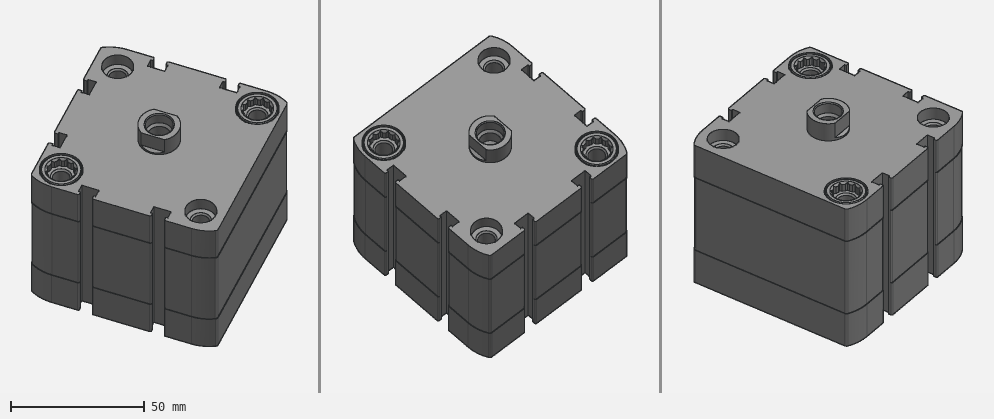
import cadquery as cq
import math

WIDTH = 75.5
HALF_WIDTH = WIDTH / 2
HOUSING_HEIGHT = 64.0
CAP_HEIGHT = 15.1
BARREL_INSET = 0.2

CORNER_ARC_RADIUS = 18.0
CORNER_FILLET_RADIUS = 1.2

HOLE_PITCH = 56.5
HOLE_OFFSET = HOLE_PITCH / 2
THROUGH_DIAMETER = 6.65
COUNTERSINK_DIAMETER = 8.0
COUNTERBORE_DIAMETER = 12.0
COUNTERBORE_DEPTH = 5.2

COLLAR_POCKET_DIAMETER = 16.4
COLLAR_DIAMETER = 15.5
COLLAR_GAP_DEPTH = 1.0
COLLAR_CHAMFER = 0.4
SOCKET_MOUTH_DIAMETER = 12.2
SOCKET_DEPTH = 3.9
SOCKET_TEETH = 12
SOCKET_GROOVE_RADIUS = 5.8
SOCKET_RIDGE_RADIUS = 5.2
SOCKET_RIDGE_WIDTH = 1.2

SLOT_OFFSET = 14.6
SLOT_MOUTH_WIDTH = 5.3
SLOT_INNER_WIDTH = 6.95
SLOT_DEPTH = 5.0
SLOT_LIP = 1.65
SLOT_EDGE_RADIUS = 0.5

ROD_DIAMETER = 16.0
ROD_RADIUS = ROD_DIAMETER / 2
ROD_PROJECTION = 8.0
ROD_FLAT_WIDTH = 13.0
ROD_FLAT_LENGTH = 6.7
ROD_FLAT_RUNOUT = 0.6
ROD_DEPTH = CAP_HEIGHT
ROD_MOUTH_DIAMETER = 11.3
ROD_RECESS_DIAMETER = 10.5
ROD_RECESS_DEPTH = 4.75
ROD_BORE_DIAMETER = 8.5
ROD_BORE_DEPTH = 10.6
DRILL_POINT_ANGLE = 118.0


def block_outline(inset, height):
    """Prism of the block section, its faces moved inward by inset."""
    half = HALF_WIDTH - inset
    arc_radius = CORNER_ARC_RADIUS - inset
    arc_centre = HALF_WIDTH - CORNER_ARC_RADIUS

    def arc_y(x):
        return arc_centre + math.sqrt(arc_radius**2 - (x - HOLE_OFFSET) ** 2)

    end_y = arc_y(half)
    middle_x = (HOLE_OFFSET + half) / 2
    middle_y = arc_y(middle_x)
    return (
        cq.Workplane("XY")
        .moveTo(-HOLE_OFFSET, half)
        .lineTo(HOLE_OFFSET, half)
        .threePointArc((middle_x, middle_y), (half, end_y))
        .lineTo(half, -end_y)
        .threePointArc((middle_x, -middle_y), (HOLE_OFFSET, -half))
        .lineTo(-HOLE_OFFSET, -half)
        .threePointArc((-middle_x, -middle_y), (-half, -end_y))
        .lineTo(-half, end_y)
        .threePointArc((-middle_x, middle_y), (-HOLE_OFFSET, half))
        .close()
        .extrude(height)
        .edges(cq.selectors.BoxSelector((-WIDTH, -WIDTH, -0.75), (-half + 0.75, WIDTH, height + 0.75)))
        .edges("|Z")
        .fillet(CORNER_FILLET_RADIUS)
        .edges(cq.selectors.BoxSelector((half - 0.75, -WIDTH, -0.75), (WIDTH, WIDTH, height + 0.75)))
        .edges("|Z")
        .fillet(CORNER_FILLET_RADIUS)
    )


def t_slot(inset, height):
    """T-slot cutter for the +Y face at X = 0, its mouth edges rounded where they meet the face."""
    face = HALF_WIDTH - inset
    lip = HALF_WIDTH - SLOT_LIP
    floor = HALF_WIDTH - SLOT_DEPTH
    mouth = SLOT_MOUTH_WIDTH / 2
    wall = SLOT_INNER_WIDTH / 2
    rounded = mouth + SLOT_EDGE_RADIUS
    return (
        cq.Workplane("XY")
        .moveTo(-wall, floor)
        .lineTo(wall, floor)
        .lineTo(wall, lip)
        .lineTo(mouth, lip)
        .lineTo(mouth, face - SLOT_EDGE_RADIUS)
        .radiusArc((rounded, face), SLOT_EDGE_RADIUS)
        .lineTo(-rounded, face)
        .radiusArc((-mouth, face - SLOT_EDGE_RADIUS), SLOT_EDGE_RADIUS)
        .lineTo(-mouth, lip)
        .lineTo(-wall, lip)
        .close()
        .extrude(height)
    )


def block_section(inset, height):
    """Length of the block with slots in the +Y, -X and -Y faces."""
    section = block_outline(inset, height)
    slot = t_slot(inset, height)
    for offset in (-SLOT_OFFSET, SLOT_OFFSET):
        for angle in (0, 90, 180):
            section = section.cut(slot.translate((offset, 0, 0)).rotate((0, 0, 0), (0, 0, 1), angle))
    return section


def turned(points):
    """Solid of revolution about Z from (radius, height) points."""
    return cq.Workplane("XZ").polyline(points).close().revolve(360, (0, 0), (0, 1))


def countersunk_through_hole(mouth_depth):
    """Hole through the housing, countersunk where it starts below the top face."""
    radius = THROUGH_DIAMETER / 2
    mouth_radius = COUNTERSINK_DIAMETER / 2
    mouth_z = HOUSING_HEIGHT - mouth_depth
    return turned(
        [
            (0, 0),
            (radius, 0),
            (radius, mouth_z - (mouth_radius - radius)),
            (mouth_radius, mouth_z),
            (0, mouth_z),
        ]
    )


def counterbored_hole():
    counterbore = (
        cq.Workplane("XY", origin=(0, 0, HOUSING_HEIGHT - COUNTERBORE_DEPTH))
        .circle(COUNTERBORE_DIAMETER / 2)
        .extrude(COUNTERBORE_DEPTH)
    )
    return counterbore.union(countersunk_through_hole(COUNTERBORE_DEPTH))


def collar_gap():
    """Ring gap around the screw collar, including the chamfer of the collar's rim."""
    pocket_radius = COLLAR_POCKET_DIAMETER / 2
    collar_radius = COLLAR_DIAMETER / 2
    return turned(
        [
            (pocket_radius, HOUSING_HEIGHT),
            (pocket_radius, HOUSING_HEIGHT - COLLAR_GAP_DEPTH),
            (collar_radius, HOUSING_HEIGHT - COLLAR_GAP_DEPTH),
            (collar_radius, HOUSING_HEIGHT - COLLAR_CHAMFER),
            (collar_radius - COLLAR_CHAMFER, HOUSING_HEIGHT),
        ]
    )


def splined_socket():
    """Twelve-point socket with flat ridges and a 45 degree lead-in."""
    step = 2 * math.pi / SOCKET_TEETH
    ridge_corner_radius = math.hypot(SOCKET_RIDGE_RADIUS, SOCKET_RIDGE_WIDTH / 2)
    ridge_half_angle = math.atan2(SOCKET_RIDGE_WIDTH / 2, SOCKET_RIDGE_RADIUS)
    points = []
    for tooth in range(SOCKET_TEETH):
        groove_angle = tooth * step
        ridge_angle = groove_angle + step / 2
        for radius, angle in (
            (SOCKET_GROOVE_RADIUS, groove_angle),
            (ridge_corner_radius, ridge_angle - ridge_half_angle),
            (ridge_corner_radius, ridge_angle + ridge_half_angle),
        ):
            points.append((radius * math.cos(angle), radius * math.sin(angle)))
    spline = (
        cq.Workplane("XY", origin=(0, 0, HOUSING_HEIGHT - SOCKET_DEPTH))
        .polyline(points)
        .close()
        .extrude(SOCKET_DEPTH)
    )
    mouth_radius = SOCKET_MOUTH_DIAMETER / 2
    lead_in_depth = mouth_radius - SOCKET_RIDGE_RADIUS
    lead_in = turned(
        [
            (0, HOUSING_HEIGHT),
            (mouth_radius, HOUSING_HEIGHT),
            (SOCKET_RIDGE_RADIUS, HOUSING_HEIGHT - lead_in_depth),
            (0, HOUSING_HEIGHT - lead_in_depth),
        ]
    )
    return spline.union(lead_in)


def make_housing():
    barrel_height = HOUSING_HEIGHT - 2 * CAP_HEIGHT
    top_cap_z = HOUSING_HEIGHT - CAP_HEIGHT
    cap = block_section(0, CAP_HEIGHT)
    barrel = block_section(BARREL_INSET, barrel_height).translate((0, 0, CAP_HEIGHT))
    housing = cap.union(barrel).union(cap.translate((0, 0, top_cap_z)))

    plain_hole = counterbored_hole()
    screw_features = (collar_gap(), splined_socket(), countersunk_through_hole(SOCKET_DEPTH))
    for side in (-1, 1):
        housing = housing.cut(plain_hole.translate((side * HOLE_OFFSET, -side * HOLE_OFFSET, 0)))
        for feature in screw_features:
            housing = housing.cut(feature.translate((side * HOLE_OFFSET, side * HOLE_OFFSET, 0)))

    rod_bore = (
        cq.Workplane("XY", origin=(0, 0, HOUSING_HEIGHT - ROD_DEPTH))
        .circle(ROD_RADIUS)
        .extrude(ROD_DEPTH)
    )
    return housing.cut(rod_bore)


def rod_flat(top_z):
    """Wrench flat on the +Y side with a sloping runout at its lower end."""
    flat_y = ROD_FLAT_WIDTH / 2
    flat_bottom = top_z - ROD_FLAT_LENGTH
    return (
        cq.Workplane("YZ")
        .moveTo(flat_y, top_z)
        .lineTo(flat_y, flat_bottom)
        .lineTo(ROD_RADIUS, flat_bottom - ROD_FLAT_RUNOUT)
        .lineTo(ROD_RADIUS, top_z)
        .close()
        .extrude(ROD_RADIUS, both=True)
    )


def rod_bore(top_z):
    """Stepped bore with chamfered mouth, conical step and drill point."""
    mouth_radius = ROD_MOUTH_DIAMETER / 2
    recess_radius = ROD_RECESS_DIAMETER / 2
    bore_radius = ROD_BORE_DIAMETER / 2
    step_z = top_z - ROD_RECESS_DEPTH
    bore_z = top_z - ROD_BORE_DEPTH
    point_height = bore_radius / math.tan(math.radians(DRILL_POINT_ANGLE / 2))
    return turned(
        [
            (0, top_z),
            (mouth_radius, top_z),
            (recess_radius, top_z - (mouth_radius - recess_radius)),
            (recess_radius, step_z),
            (bore_radius, step_z - (recess_radius - bore_radius)),
            (bore_radius, bore_z),
            (0, bore_z - point_height),
        ]
    )


def make_rod():
    top_z = HOUSING_HEIGHT + ROD_PROJECTION
    rod = (
        cq.Workplane("XY", origin=(0, 0, HOUSING_HEIGHT - ROD_DEPTH))
        .circle(ROD_RADIUS)
        .extrude(ROD_DEPTH + ROD_PROJECTION)
    )
    flat = rod_flat(top_z)
    return rod.cut(flat).cut(flat.mirror("XZ")).cut(rod_bore(top_z))


housing = make_housing()
rod = make_rod()

result = cq.Compound.makeCompound([housing.val(), rod.val()])